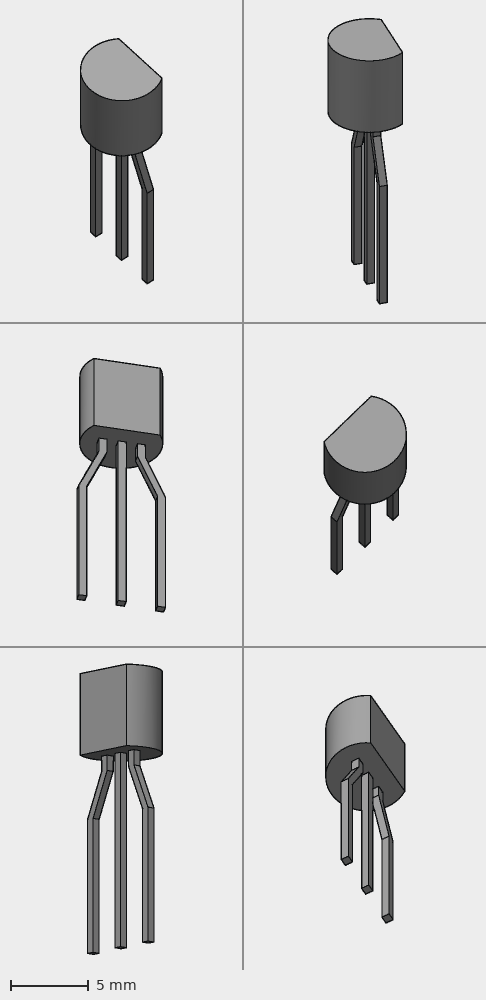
import cadquery as cq
import math

body_diameter = 5.334
body_radius = body_diameter / 2
body_height = 5.334
body_depth = 4.191
flat_y = body_depth - body_radius
flat_half_width = math.sqrt(body_radius**2 - flat_y**2)

overall_height = 18.034
overall_width = 5.74
lead_width = 0.533
lead_length = overall_height - body_height
lead_pitch_at_body = 1.27
lead_pitch_at_tip = (overall_width - lead_width) / 2
upper_bend_z = -1.0
lower_bend_z = -3.95


def make_body():
    return (
        cq.Workplane("XY")
        .moveTo(-flat_half_width, flat_y)
        .threePointArc((0, -body_radius), (flat_half_width, flat_y))
        .close()
        .extrude(body_height)
    )


def make_lead(x_at_body, x_at_tip):
    """A lead of constant width in X that shifts sideways between the two bend heights."""
    half = lead_width / 2
    centre_line = [
        (x_at_body, 0),
        (x_at_body, upper_bend_z),
        (x_at_tip, lower_bend_z),
        (x_at_tip, -lead_length),
    ]
    left_edge = [(x - half, z) for x, z in centre_line]
    right_edge = [(x + half, z) for x, z in reversed(centre_line)]
    return cq.Workplane("XZ").polyline(left_edge + right_edge).close().extrude(half, both=True)


def make_straight_lead():
    return (
        cq.Workplane("XY")
        .rect(lead_width, lead_width)
        .extrude(-lead_length)
    )


result = make_body().union(make_straight_lead())
for side in (-1, 1):
    result = result.union(make_lead(side * lead_pitch_at_body, side * lead_pitch_at_tip))